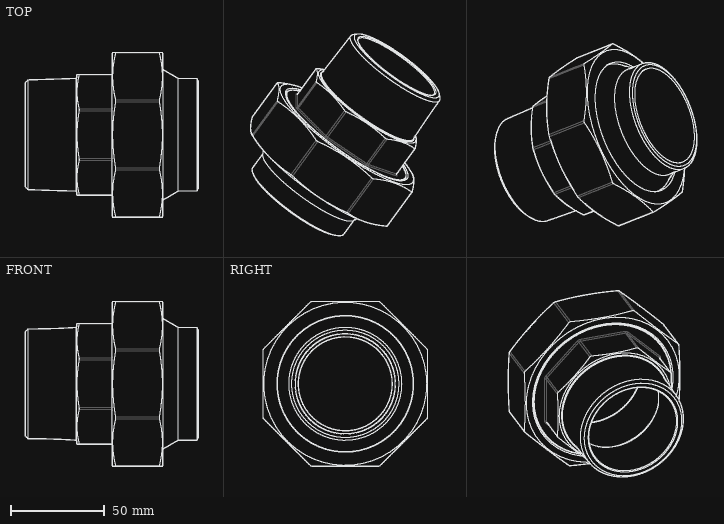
import cadquery as cq
import math

SIDES = 8
CORNER_RADIUS = 1.5
FACING_ANGLE = 25.0

TOLERANCE = 0.01

OVERALL_LENGTH = 92.5
TAPER_END = 27.1
BODY_OCTAGON_START = 27.5
NUT_START = 46.5
NUT_LENGTH = 27.0
NUT_END = NUT_START + NUT_LENGTH
FACE_RECESS = 0.3
THREAD_FACE = NUT_START + FACE_RECESS
SEAT = 60.0
NUT_SHOULDER = 66.0

TAPER_SLOPE = 1 / 16
TAPER_END_DIAMETER = 60.3
MALE_CHAMFER = 1.6
NECK_DIAMETER = 61.0
BODY_FLATS = 64.6
BODY_FACING_DIAMETER = 63.6
OCTAGON_FILLET = 0.7
BODY_BORE = 50.0
BORE_CHAMFER = 0.5
BORE_CONE_START = 28.0
BORE_CONE_END = 31.5
RELIEF_BORE = 54.0

THREAD_FACE_DIAMETER = 77.84
NUT_MOUTH_DIAMETER = 80.0
THREAD_DIAMETER = 78.5

NUT_FLATS = 88.0
NUT_FACING_DIAMETER = 87.0
NUT_HOLE = 73.0

TAIL_BORE = 53.3
TAIL_DIAMETER = 60.3
TAIL_COLLAR_DIAMETER = 77.5
TAIL_SHOULDER_DIAMETER = 72.5
TAIL_CONE_END = 81.7
TAIL_CONE_ANGLE = 30.0
WELD_BEVEL_WIDTH = 1.5
WELD_BEVEL_ANGLE = 30.0


def tangent(angle):
    return math.tan(math.radians(angle))


def turned(points):
    """Solid turned about X from (x, diameter) points; the first and last lie on the axis."""
    outline = [(x, diameter / 2) for x, diameter in points]
    return cq.Workplane("XY").polyline(outline).close().revolve(360, (0, 0, 0), (1, 0, 0))


def octagon_bar(flats, start, end):
    """Octagonal bar along X with rounded corners and flats on the Y and Z sides."""
    circumscribed = flats / math.cos(math.pi / SIDES)
    bar = (
        cq.Workplane("YZ", origin=(start, 0, 0))
        .transformed(rotate=(0, 0, 180 / SIDES))
        .polygon(SIDES, circumscribed)
        .extrude(end - start)
    )
    return bar.edges("|X").fillet(CORNER_RADIUS)


def facing_rise(flats, facing_diameter):
    """Axial length of a facing cone from its end circle to past the octagon corners."""
    corner_diameter = flats / math.cos(math.pi / SIDES)
    return (corner_diameter - facing_diameter) / 2 * tangent(FACING_ANGLE)


def make_body():
    rise = facing_rise(BODY_FLATS, BODY_FACING_DIAMETER)
    corner_diameter = BODY_FLATS / math.cos(math.pi / SIDES)
    facing = turned([
        (BODY_OCTAGON_START, 0),
        (BODY_OCTAGON_START, BODY_FACING_DIAMETER),
        (BODY_OCTAGON_START + rise, corner_diameter),
        (THREAD_FACE, corner_diameter),
        (THREAD_FACE, 0),
    ])
    octagon = octagon_bar(BODY_FLATS, BODY_OCTAGON_START, THREAD_FACE).intersect(facing)

    thread_chamfer = (THREAD_DIAMETER - THREAD_FACE_DIAMETER) / 2
    union_thread = turned([
        (THREAD_FACE, 0),
        (THREAD_FACE, THREAD_FACE_DIAMETER),
        (THREAD_FACE + thread_chamfer, THREAD_DIAMETER),
        (SEAT, THREAD_DIAMETER),
        (SEAT, 0),
    ])
    body = octagon.union(union_thread)
    flat_width = BODY_FLATS * math.tan(math.pi / SIDES)
    junction = body.edges().filter(
        lambda edge: abs(edge.Center().x - THREAD_FACE) < TOLERANCE and edge.Length() < flat_width
    )
    body = body.newObject(junction.vals()).fillet(OCTAGON_FILLET)

    taper_start_diameter = TAPER_END_DIAMETER - TAPER_SLOPE * (TAPER_END - MALE_CHAMFER)
    male_end = turned([
        (0, 0),
        (0, taper_start_diameter - 2 * MALE_CHAMFER),
        (MALE_CHAMFER, taper_start_diameter),
        (TAPER_END, TAPER_END_DIAMETER),
        (TAPER_END + (NECK_DIAMETER - TAPER_END_DIAMETER) / 2, NECK_DIAMETER),
        (BODY_OCTAGON_START, NECK_DIAMETER),
        (BODY_OCTAGON_START, 0),
    ])
    bore = turned([
        (0, 0),
        (0, BODY_BORE + 2 * BORE_CHAMFER),
        (BORE_CHAMFER, BODY_BORE),
        (BORE_CONE_START, BODY_BORE),
        (BORE_CONE_END, RELIEF_BORE),
        (SEAT, RELIEF_BORE),
        (SEAT, 0),
    ])
    return body.union(male_end).cut(bore)


def make_nut():
    rise = facing_rise(NUT_FLATS, NUT_FACING_DIAMETER)
    corner_diameter = NUT_FLATS / math.cos(math.pi / SIDES)
    facing = turned([
        (NUT_START, 0),
        (NUT_START, NUT_FACING_DIAMETER),
        (NUT_START + rise, corner_diameter),
        (NUT_END - rise, corner_diameter),
        (NUT_END, NUT_FACING_DIAMETER),
        (NUT_END, 0),
    ])
    mouth_chamfer = (NUT_MOUTH_DIAMETER - THREAD_DIAMETER) / 2
    cavity = turned([
        (NUT_START, 0),
        (NUT_START, NUT_MOUTH_DIAMETER),
        (NUT_START + mouth_chamfer, THREAD_DIAMETER),
        (NUT_SHOULDER, THREAD_DIAMETER),
        (NUT_SHOULDER, NUT_HOLE),
        (NUT_END, NUT_HOLE),
        (NUT_END, 0),
    ])
    return octagon_bar(NUT_FLATS, NUT_START, NUT_END).intersect(facing).cut(cavity)


def make_tail():
    cone_length = (TAIL_SHOULDER_DIAMETER - TAIL_DIAMETER) / 2 / tangent(TAIL_CONE_ANGLE)
    bevel_length = WELD_BEVEL_WIDTH * tangent(WELD_BEVEL_ANGLE)
    outside = turned([
        (SEAT, 0),
        (SEAT, TAIL_COLLAR_DIAMETER),
        (NUT_SHOULDER, TAIL_COLLAR_DIAMETER),
        (NUT_SHOULDER, TAIL_SHOULDER_DIAMETER),
        (TAIL_CONE_END - cone_length, TAIL_SHOULDER_DIAMETER),
        (TAIL_CONE_END, TAIL_DIAMETER),
        (OVERALL_LENGTH - bevel_length, TAIL_DIAMETER),
        (OVERALL_LENGTH, TAIL_DIAMETER - 2 * WELD_BEVEL_WIDTH),
        (OVERALL_LENGTH, 0),
    ])
    bore = turned([(SEAT, 0), (SEAT, TAIL_BORE), (OVERALL_LENGTH, TAIL_BORE), (OVERALL_LENGTH, 0)])
    return outside.cut(bore)


body = make_body()
nut = make_nut()
tail = make_tail()

result = cq.Compound.makeCompound([body.val(), nut.val(), tail.val()])